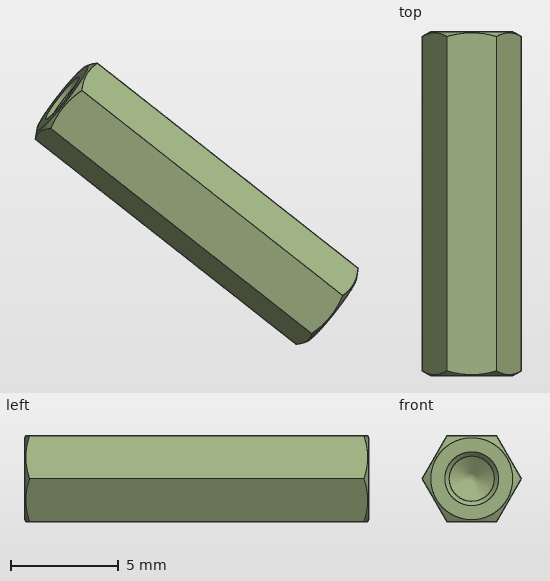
import cadquery as cq
import math

length = 16.0
across_flats = 4.0
across_corners = across_flats / math.cos(math.radians(30))

end_face_diameter = 3.8
chamfer_angle = 30.0
corner_drop = (across_corners - end_face_diameter) / 2 * math.tan(math.radians(chamfer_angle))

hole_diameter = 2.1
mouth_diameter = 2.5
mouth_depth = (mouth_diameter - hole_diameter) / 2
hole_depth = 6.0
drill_point_angle = 118.0
drill_point_depth = hole_diameter / 2 / math.tan(math.radians(drill_point_angle / 2))


def hexagonal_bar():
    bar = cq.Workplane("XZ").polygon(6, across_corners).extrude(length / 2, both=True)
    return bar


def chamfer_envelope():
    """Turned profile that trims the hexagon corners at both ends."""
    corner_radius = across_corners / 2
    half_length = length / 2
    return (
        cq.Workplane("XY")
        .moveTo(0, -half_length)
        .lineTo(end_face_diameter / 2, -half_length)
        .lineTo(corner_radius, -half_length + corner_drop)
        .lineTo(corner_radius, half_length - corner_drop)
        .lineTo(end_face_diameter / 2, half_length)
        .lineTo(0, half_length)
        .close()
        .revolve(360, (0, 0, 0), (0, 1, 0))
    )


def blind_hole():
    """Solid of the hole that opens on the -Y end."""
    mouth_y = -length / 2
    return (
        cq.Workplane("XY")
        .moveTo(0, mouth_y)
        .lineTo(mouth_diameter / 2, mouth_y)
        .lineTo(hole_diameter / 2, mouth_y + mouth_depth)
        .lineTo(hole_diameter / 2, mouth_y + hole_depth)
        .lineTo(0, mouth_y + hole_depth + drill_point_depth)
        .close()
        .revolve(360, (0, 0, 0), (0, 1, 0))
    )


front_hole = blind_hole()
back_hole = front_hole.mirror("XZ")
result = hexagonal_bar().intersect(chamfer_envelope()).cut(front_hole).cut(back_hole)